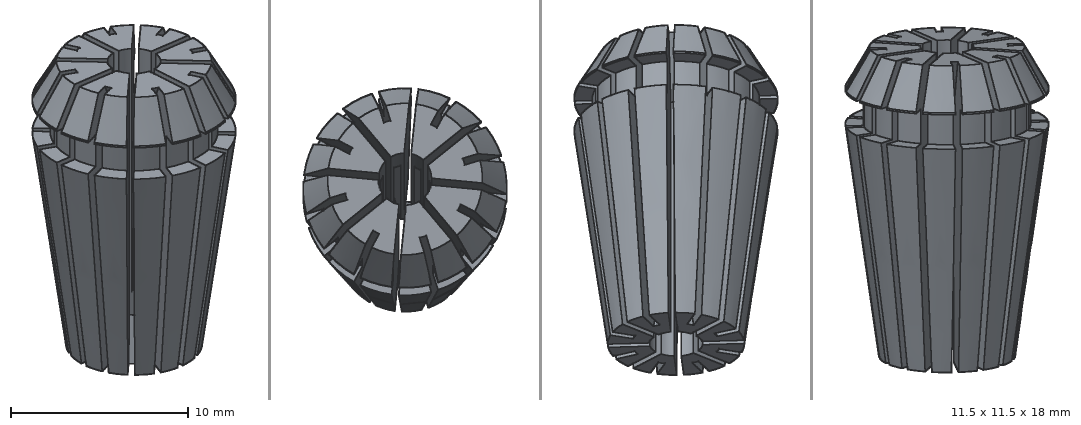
import cadquery as cq
import math

height = 18.0
outer_diameter = 11.5
bore_diameter = 3.0

head_height = 2.5
rim_height = 0.1
head_half_angle = 30.0

groove_diameter = 9.47
groove_width = 2.0

body_half_angle = 8.0

slots_per_kind = 8
slot_width = 0.4

bottom_core_radius = 2.5
bottom_core_height = 2.6

top_core_radius = 3.47
top_core_half_angle = 30.0

outer_radius = outer_diameter / 2
bore_radius = bore_diameter / 2
slot_pitch = 360 / slots_per_kind


def radius_drop(length, half_angle):
    """Radius lost along a cone of the given axial length."""
    return length * math.tan(math.radians(half_angle))


def turned(profile):
    """Solid of revolution about Z from (radius, height) points."""
    return cq.Workplane("XZ").polyline(profile).close().revolve(360, (0, 0), (0, 1))


def turned_blank():
    head_bottom = height - head_height
    groove_bottom = head_bottom - groove_width
    groove_radius = groove_diameter / 2
    rim_top = head_bottom + rim_height
    bottom_radius = outer_radius - radius_drop(groove_bottom, body_half_angle)
    top_radius = outer_radius - radius_drop(height - rim_top, head_half_angle)
    profile = [
        (bore_radius, 0),
        (bottom_radius, 0),
        (outer_radius, groove_bottom),
        (groove_radius, groove_bottom),
        (groove_radius, head_bottom),
        (outer_radius, head_bottom),
        (outer_radius, rim_top),
        (top_radius, height),
        (bore_radius, height),
    ]
    return turned(profile)


def slot_core(end_radius, end_level, bore_level):
    """Cone left standing in the slots: end_radius at the part's end face, narrowing to the bore."""
    profile = [
        (0, end_level),
        (end_radius, end_level),
        (bore_radius, bore_level),
        (0, bore_level),
    ]
    return turned(profile)


def radial_slots(first_angle):
    """Full-height slots from the axis outwards, evenly spaced."""
    slot = cq.Workplane("XY").box(outer_diameter, slot_width, height, centered=(False, True, False))
    slots = cq.Workplane("XY")
    for index in range(slots_per_kind):
        angle = first_angle + index * slot_pitch
        slots = slots.union(slot.rotate((0, 0, 0), (0, 0, 1), angle))
    return slots


bottom_core = slot_core(bottom_core_radius, 0, bottom_core_height)
top_core_height = (top_core_radius - bore_radius) / math.tan(math.radians(top_core_half_angle))
top_core = slot_core(top_core_radius, height, height - top_core_height)

slots_from_top = radial_slots(0).cut(bottom_core)
slots_from_bottom = radial_slots(slot_pitch / 2).cut(top_core)

result = turned_blank().cut(slots_from_top).cut(slots_from_bottom)